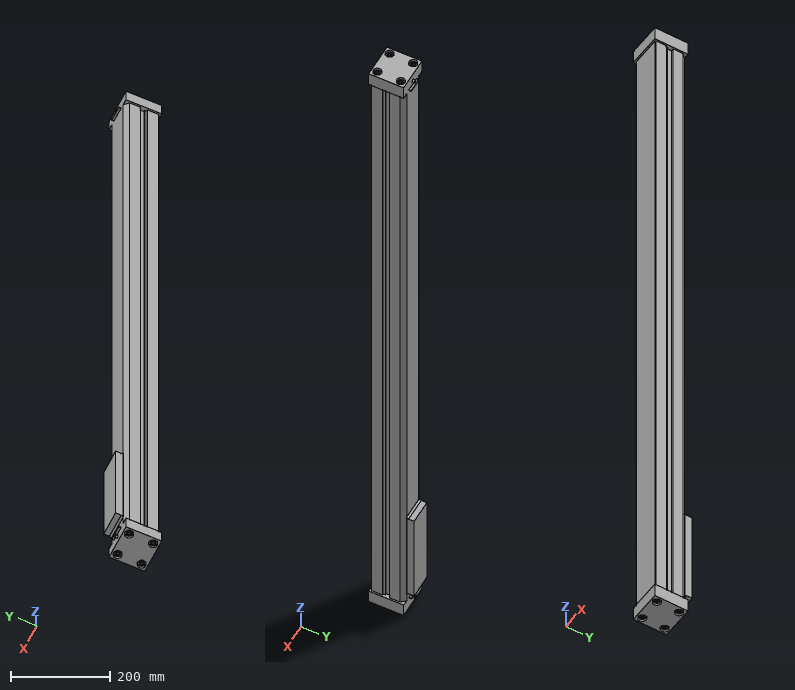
import cadquery as cq

LENGTH = 1650.0
OVERALL_DEPTH = 97.0

PROFILE_WIDTH = 73.0
FRONT_CHAMFER = 2.0
BACK_BEVEL = 10.0

CAP_OVERHANG = 3.6
CAP_SIZE = PROFILE_WIDTH + 2 * CAP_OVERHANG
CAP_HEIGHT = 33.0
PROFILE_FRONT = CAP_OVERHANG
PROFILE_BACK = CAP_SIZE
PROFILE_LENGTH = LENGTH - 2 * CAP_HEIGHT

GROOVE_FRONT = 35.0
GROOVE_BACK = 46.0
GROOVE_DEPTH = 7.0
LEDGE_WIDTH = 5.0
LEDGE_DEPTH = 3.0

SCREW_INSET = 13.0
SCREW_SPACING = CAP_SIZE - 2 * SCREW_INSET
RECESS_DIAMETER = 18.0
RECESS_DEPTH = 7.0
HEAD_DIAMETER = 11.4
HEAD_HEIGHT = 5.0
SOCKET_DIAMETER = 7.0
SOCKET_DEPTH = 3.0

BUTTON_DIAMETER = 7.0
BUTTON_INSET = 20.0
BACK_PROJECTION = 5.0
LIP_WIDTH = 33.0
LIP_THICKNESS = 2.5

PLATE_WIDTH = 56.0
PLATE_BOTTOM = 58.0
PLATE_LENGTH = 235.0
FLARE_DEPTH = 5.0
FLARE_HEIGHT = 2.5


def make_profile():
    """Extrude the mirrored cross-section with its side grooves and bevelled corners."""
    side = PROFILE_WIDTH / 2
    ledge = side - LEDGE_DEPTH
    groove_floor = side - GROOVE_DEPTH
    ledge_front = GROOVE_FRONT - LEDGE_WIDTH
    right_half = [
        (side - FRONT_CHAMFER, PROFILE_FRONT),
        (side, PROFILE_FRONT + FRONT_CHAMFER),
        (side, ledge_front),
        (ledge, ledge_front),
        (ledge, GROOVE_FRONT),
        (groove_floor, GROOVE_FRONT),
        (groove_floor, GROOVE_BACK),
        (side, GROOVE_BACK),
        (side, PROFILE_BACK - BACK_BEVEL),
        (side - BACK_BEVEL, PROFILE_BACK),
    ]
    left_half = [(-x, y) for x, y in reversed(right_half)]
    section = cq.Workplane("XY", origin=(0, 0, CAP_HEIGHT)).polyline(right_half + left_half).close()
    return section.extrude(PROFILE_LENGTH)


def screw_discs(bottom, diameter, height):
    """Four discs, one at each screw position of a cap."""
    return (
        cq.Workplane("XY", origin=(0, CAP_SIZE / 2, bottom))
        .rect(SCREW_SPACING, SCREW_SPACING, forConstruction=True)
        .vertices()
        .circle(diameter / 2)
        .extrude(height)
    )


def make_top_cap():
    """Square cap with four recessed screws, and a button and a lip on its back."""
    cap_bottom = LENGTH - CAP_HEIGHT
    recess_floor = LENGTH - RECESS_DEPTH
    socket_floor = recess_floor + HEAD_HEIGHT - SOCKET_DEPTH
    block = cq.Workplane("XY", origin=(0, CAP_SIZE / 2, cap_bottom)).rect(CAP_SIZE, CAP_SIZE).extrude(CAP_HEIGHT)
    button = (
        cq.Workplane("XZ", origin=(0, CAP_SIZE, LENGTH - BUTTON_INSET))
        .circle(BUTTON_DIAMETER / 2)
        .extrude(-BACK_PROJECTION)
    )
    lip = cq.Workplane("XY", origin=(0, CAP_SIZE, cap_bottom)).box(
        LIP_WIDTH, BACK_PROJECTION, LIP_THICKNESS, centered=(True, False, False)
    )
    return (
        block.cut(screw_discs(recess_floor, RECESS_DIAMETER, RECESS_DEPTH))
        .union(screw_discs(recess_floor, HEAD_DIAMETER, HEAD_HEIGHT))
        .cut(screw_discs(socket_floor, SOCKET_DIAMETER, SOCKET_DEPTH))
        .union(button)
        .union(lip)
    )


def make_column():
    """Profile and its two mirrored caps, joined as one housing."""
    top_cap = make_top_cap()
    bottom_cap = top_cap.mirror("XY", (0, 0, LENGTH / 2))
    return make_profile().union(top_cap).union(bottom_cap)


def make_mounting_plate():
    """Plate whose ends slope outward to a longer foot against the profile."""
    plate_top = PLATE_BOTTOM + PLATE_LENGTH
    outline = [
        (PROFILE_BACK, PLATE_BOTTOM - FLARE_HEIGHT),
        (PROFILE_BACK + FLARE_DEPTH, PLATE_BOTTOM),
        (OVERALL_DEPTH, PLATE_BOTTOM),
        (OVERALL_DEPTH, plate_top),
        (PROFILE_BACK + FLARE_DEPTH, plate_top),
        (PROFILE_BACK, plate_top + FLARE_HEIGHT),
    ]
    return cq.Workplane("YZ").polyline(outline).close().extrude(PLATE_WIDTH / 2, both=True)


column = make_column()
mounting_plate = make_mounting_plate()

result = cq.Compound.makeCompound([column.val(), mounting_plate.val()])